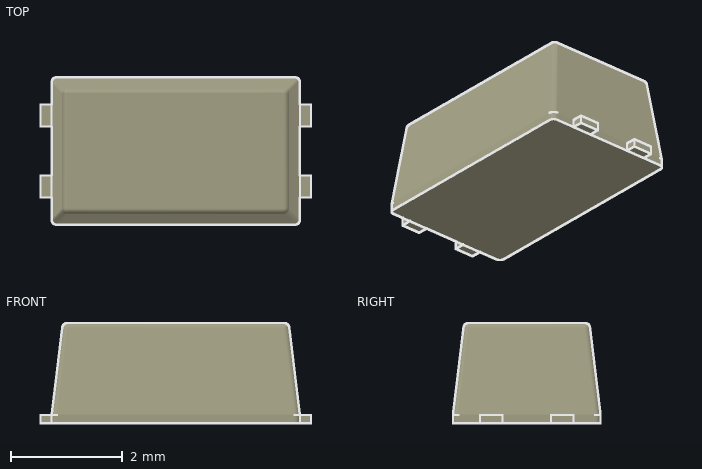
import cadquery as cq
import math

body_length = 4.45
body_width = 2.65
body_height = 1.8
band_height = 0.15
side_inset = 0.2
edge_radius = 0.1

lead_reach = 0.2
lead_width = 0.4
lead_pitch = 1.27
lead_thickness = band_height

taper_height = body_height - band_height
taper_angle = math.degrees(math.atan(side_inset / taper_height))


def make_body():
    """Block with a straight band at the base, tapered sides and rounded edges."""
    band = cq.Workplane("XY").rect(body_length, body_width).extrude(band_height)
    cap = (
        cq.Workplane("XY")
        .workplane(offset=band_height)
        .rect(body_length, body_width)
        .extrude(taper_height, taper=taper_angle)
    )
    upright_edges = "not(#Z)"
    band = band.edges(upright_edges).fillet(edge_radius)
    cap = cap.edges(f"({upright_edges}) or >Z").fillet(edge_radius)
    return band.union(cap)


def make_lead(side, row):
    """Flat lead butting against an end wall; side and row are -1 or +1."""
    center_x = side * (body_length + lead_reach) / 2
    center_y = row * lead_pitch / 2
    return (
        cq.Workplane("XY")
        .center(center_x, center_y)
        .rect(lead_reach, lead_width)
        .extrude(lead_thickness)
    )


body = make_body()
leads = [make_lead(side, row) for side in (-1, 1) for row in (-1, 1)]

result = cq.Compound.makeCompound([body.val(), *[lead.val() for lead in leads]])